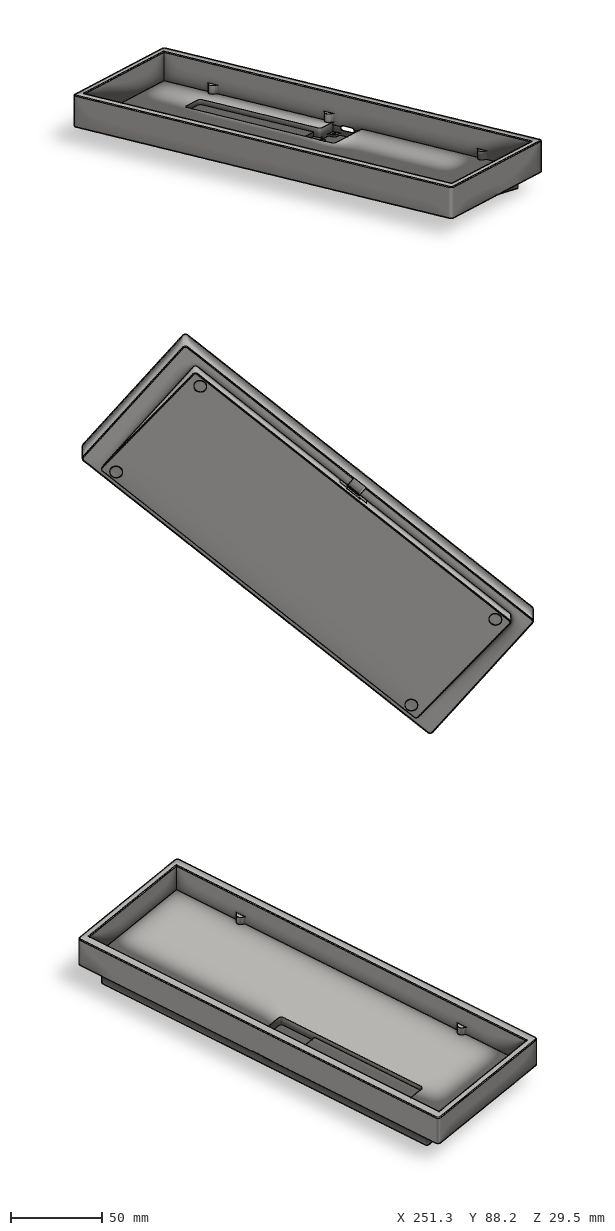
import cadquery as cq
import math

LENGTH = 251.3
WIDTH = 88.2
TOTAL_HEIGHT = 29.5
FOOT_HEIGHT = 10.5
BODY_TOP = TOTAL_HEIGHT - FOOT_HEIGHT
CORNER_RADIUS = 2.0
EDGE_CHAMFER = 0.5

END_WALL = 4.0
LONG_WALL = 5.5
FLOOR_Z = 1.8
INNER_LENGTH = LENGTH - 2 * END_WALL
INNER_WIDTH = WIDTH - 2 * LONG_WALL
INNER_BACK = INNER_WIDTH / 2

FOOT_LENGTH = 227.7
FOOT_INSET = 5.3
FOOT_BACK = WIDTH / 2 - FOOT_INSET
FOOT_FRONT = -42.2
FOOT_MIDDLE_Y = (FOOT_FRONT + FOOT_BACK) / 2
FOOT_RADIUS = 1.8
FOOT_DEPTH = FOOT_BACK - FOOT_FRONT
TILT = math.degrees(math.atan2(FOOT_HEIGHT, FOOT_DEPTH - EDGE_CHAMFER))
FOOT_DROP = FOOT_DEPTH * math.tan(math.radians(TILT))

PAD_DIAMETER = 7.0
PAD_DEPTH = 0.5
PAD_INSET = 5.0
PAD_X = 106.0
PAD_SLOPE_Y = FOOT_DEPTH / math.cos(math.radians(TILT)) / 2 - PAD_INSET

POST_RADIUS = 2.5
POST_FLARE = 1.0
POST_HEIGHT = 5.0
POST_ROOT = LONG_WALL / 2
BACK_POSTS_X = (-89.2, -12.3, 89.2)
FRONT_POSTS_X = (-77.0, 77.0)

POCKET_WIDTH = 19.0
POCKET_FRONT = 11.8
POCKET_DEPTH = 5.5
POCKET_Z = FLOOR_Z - POCKET_DEPTH
POCKET_RADIUS = 2.0
CHANNEL_LEFT = -89.7
CHANNEL_BACK = 26.5
CHANNEL_DEPTH = 3.0
STEP_X = -14.0

BAY_FRONT = 21.5
BAY_DEPTH = 1.3
BAY_Z = POCKET_Z - BAY_DEPTH
BOSS_RADIUS = 2.0
BOSS_FLARE = 1.0
BOSS_INSET = 2.4
SCREW_DIAMETER = 1.63
SCREW_DEPTH = 2.5

PORT_WIDTH = 9.0
PORT_HEIGHT = 2.8
PORT_Z = -0.5


def block(x_min, x_max, y_min, y_max, z_min, z_max):
    """Box given by its limits along each axis."""
    size = (x_max - x_min, y_max - y_min, z_max - z_min)
    return cq.Workplane("XY").box(*size, centered=False).translate((x_min, y_min, z_min))


def make_body():
    """Rounded box with chamfered rims, before hollowing."""
    body = cq.Workplane("XY").box(LENGTH, WIDTH, BODY_TOP, centered=(True, True, False))
    return body.edges("|Z").fillet(CORNER_RADIUS).faces("<Z or >Z").chamfer(EDGE_CHAMFER)


def make_foot():
    """Wedge that tilts the case, with rounded corners, a bottom chamfer and round pad recesses."""
    wedge = (
        cq.Workplane("YZ")
        .polyline([(FOOT_FRONT, 0), (FOOT_BACK, -FOOT_DROP), (FOOT_BACK, FLOOR_Z), (FOOT_FRONT, FLOOR_Z)])
        .close()
        .extrude(FOOT_LENGTH / 2, both=True)
    )
    wedge = wedge.edges("|Z").fillet(FOOT_RADIUS)
    wedge = wedge.faces("<Z").chamfer(EDGE_CHAMFER)
    pads = (
        cq.Workplane("XY")
        .rect(2 * PAD_X, 2 * PAD_SLOPE_Y, forConstruction=True)
        .vertices()
        .circle(PAD_DIAMETER / 2)
        .extrude(PAD_DEPTH)
        .rotate((0, 0, 0), (1, 0, 0), -TILT)
        .translate((0, FOOT_MIDDLE_Y, -FOOT_DROP / 2))
    )
    return wedge.cut(pads)


def make_interior():
    """Open-topped interior with a chamfered rim."""
    interior = block(-INNER_LENGTH / 2, INNER_LENGTH / 2, -INNER_BACK, INNER_BACK, FLOOR_Z, BODY_TOP)
    rim = (
        cq.Workplane("XY")
        .workplane(offset=BODY_TOP - EDGE_CHAMFER)
        .rect(INNER_LENGTH, INNER_WIDTH)
        .workplane(offset=EDGE_CHAMFER)
        .rect(INNER_LENGTH + 2 * EDGE_CHAMFER, INNER_WIDTH + 2 * EDGE_CHAMFER)
        .loft(combine=True)
    )
    return interior.union(rim)


def make_post():
    """Half-round post at the origin, flared where it meets a wall on its +Y side."""
    reach = POST_RADIUS + POST_FLARE
    flare_x = math.sqrt(reach**2 - POST_FLARE**2)
    tangent_x = flare_x * POST_RADIUS / reach
    tangent_y = -POST_FLARE * POST_RADIUS / reach
    flare_angle = (math.pi / 2 + math.atan2(tangent_y + POST_FLARE, tangent_x - flare_x)) / 2
    mid_x = flare_x + POST_FLARE * math.cos(flare_angle)
    mid_y = -POST_FLARE + POST_FLARE * math.sin(flare_angle)
    return (
        cq.Workplane("XY")
        .moveTo(flare_x, POST_ROOT)
        .lineTo(flare_x, 0)
        .threePointArc((mid_x, mid_y), (tangent_x, tangent_y))
        .threePointArc((0, -POST_RADIUS), (-tangent_x, tangent_y))
        .threePointArc((-mid_x, mid_y), (-flare_x, 0))
        .lineTo(-flare_x, POST_ROOT)
        .close()
        .extrude(POST_HEIGHT)
    )


def add_posts(case):
    """Stand the posts on the floor against both long walls."""
    back_post = make_post().translate((0, INNER_BACK, FLOOR_Z))
    front_post = back_post.rotate((0, 0, 0), (0, 0, 1), 180)
    for x in BACK_POSTS_X:
        case = case.union(back_post.translate((x, 0, 0)))
    for x in FRONT_POSTS_X:
        case = case.union(front_post.translate((x, 0, 0)))
    return case


def make_pocket():
    """L-shaped pocket: a shallow channel that steps down to the connector pocket."""
    half = POCKET_WIDTH / 2
    outline = block(CHANNEL_LEFT, half, POCKET_FRONT, CHANNEL_BACK, POCKET_Z, FLOOR_Z)
    outline = outline.union(block(-half, half, POCKET_FRONT, INNER_BACK, POCKET_Z, FLOOR_Z))
    outline = outline.edges("|Z and (not >Y)").fillet(POCKET_RADIUS)
    ledge = block(CHANNEL_LEFT, STEP_X, POCKET_FRONT, CHANNEL_BACK, POCKET_Z, FLOOR_Z - CHANNEL_DEPTH)
    return outline.cut(ledge)


def make_bay():
    """Bay below the connector pocket, leaving a flared screw boss in each corner."""
    half = POCKET_WIDTH / 2
    bay = block(-half, half, BAY_FRONT, INNER_BACK, BAY_Z, BAY_Z + BAY_DEPTH)
    boss_size = BOSS_INSET + BOSS_RADIUS
    for x in (-half, half):
        for y in (BAY_FRONT, INNER_BACK):
            corner = cq.Workplane("XY").rect(2 * boss_size, 2 * boss_size).extrude(BAY_DEPTH)
            corner = corner.edges("|Z").fillet(BOSS_RADIUS).translate((x, y, BAY_Z))
            bay = bay.cut(corner)
    return bay.faces("<X or >X or <Y or >Y").edges("|Z").fillet(BOSS_FLARE)


def make_screw_holes():
    """Blind screw holes in the four bosses."""
    pitch_x = POCKET_WIDTH - 2 * BOSS_INSET
    pitch_y = INNER_BACK - BAY_FRONT - 2 * BOSS_INSET
    return (
        cq.Workplane("XY")
        .workplane(offset=POCKET_Z)
        .center(0, (BAY_FRONT + INNER_BACK) / 2)
        .rect(pitch_x, pitch_y, forConstruction=True)
        .vertices()
        .circle(SCREW_DIAMETER / 2)
        .extrude(-SCREW_DEPTH)
    )


def make_port():
    """Round-ended opening through the back wall."""
    return (
        cq.Workplane("XZ", origin=(0, INNER_BACK, PORT_Z))
        .slot2D(PORT_WIDTH, PORT_HEIGHT)
        .extrude(-2 * LONG_WALL)
    )


result = make_body().union(make_foot()).cut(make_interior())
result = add_posts(result)
for cutter in (make_pocket(), make_bay(), make_screw_holes(), make_port()):
    result = result.cut(cutter)